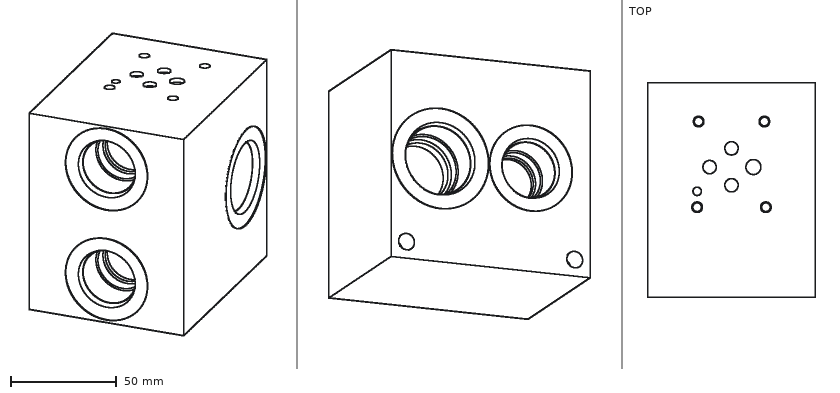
import cadquery as cq
import math

WIDTH = 79.3
LENGTH = 101.6
HEIGHT = 101.6
LEFT = -WIDTH / 2
FRONT = -LENGTH / 2
TOP = HEIGHT / 2

DRILL_HALF_ANGLE = math.radians(59)
SEAL_CONE_HALF_ANGLE = math.radians(15)

SPOTFACE_DEPTH = 0.5
SEAT_END_DEPTH = 3.8
THREAD_DEPTH = 19.3
TAP_DRILL_DEPTH = 25.4
SMALL_PORT = {"spotface": 42.1, "seat": 27.4, "thread": 27.0, "tap_drill": 24.9, "drill": 23.0}
LARGE_PORT = {"spotface": 49.2, "seat": 33.7, "thread": 33.3, "tap_drill": 31.3, "drill": 28.5}

WORK_PORT_Z = 28.4
PRESSURE_Y = -20.6
TANK_Y = 25.5
TANK_OPENING = 4.2
SMALL_PORT_DRILL_DEPTH = 28.4

VALVE_SIDE_X = 10.4
VALVE_SIDE_Y = 10.9
VALVE_MID_Y = [19.7, 2.2]
VALVE_HOLE = 6.3
VALVE_TANK_HOLE = 7.1
VALVE_HOLE_DEPTH = 2.0
BOLT_BACK_X = 15.5
BOLT_BACK_Y = 32.4
BOLT_FRONT_X = 16.3
BOLT_FRONT_Y = -8.1
BOLT_THREAD = 5.0
BOLT_DRILL = 4.2
BOLT_THREAD_DEPTH = 12.2
BOLT_DRILL_DEPTH = 15.2
PIN_HOLE = 4.0
PIN_Y = -0.6
PIN_DEPTH = 7.1

MOUNT_Y = 42.9
MOUNT_Z = -42.7
MOUNT_THREAD = 8.0
MOUNT_DRILL = 6.7
MOUNT_THREAD_DEPTH = 15.2
MOUNT_DRILL_DEPTH = 19.3


def cone_height(large_radius, small_radius=0.0):
    """Length of a drill-point cone between two radii."""
    return (large_radius - small_radius) / math.tan(DRILL_HALF_ANGLE)


def bore(entry, direction, profile):
    """Solid of revolution that cuts a hole; the profile lists (radius, depth) from the mouth to the tip."""
    axis = cq.Vector(*direction)
    side = cq.Vector(0, 1, 0) if axis.y == 0 else cq.Vector(1, 0, 0)
    plane = cq.Plane(origin=entry, xDir=side, normal=side.cross(axis))
    outline = cq.Workplane(plane).moveTo(0, 0)
    for radius, depth in profile:
        outline = outline.lineTo(radius, depth)
    return outline.close().revolve(axisStart=(0, 0), axisEnd=(0, 1))


def drilled_hole(entry, direction, diameter, depth):
    radius = diameter / 2
    return bore(entry, direction, [(radius, 0), (radius, depth), (0, depth + cone_height(radius))])


def tapped_hole(entry, direction, thread, drill, thread_depth, drill_depth):
    outer = thread / 2
    inner = drill / 2
    return bore(entry, direction, [
        (outer, 0),
        (outer, thread_depth),
        (inner, thread_depth + cone_height(outer, inner)),
        (inner, drill_depth),
        (0, drill_depth + cone_height(inner)),
    ])


def port(entry, direction, size, drill_depth):
    seat = size["seat"] / 2
    thread = size["thread"] / 2
    tap_drill = size["tap_drill"] / 2
    drill = size["drill"] / 2
    mouth = seat + (SEAT_END_DEPTH - SPOTFACE_DEPTH) * math.tan(SEAL_CONE_HALF_ANGLE)
    return bore(entry, direction, [
        (size["spotface"] / 2, 0),
        (size["spotface"] / 2, SPOTFACE_DEPTH),
        (mouth, SPOTFACE_DEPTH),
        (seat, SEAT_END_DEPTH),
        (thread, SEAT_END_DEPTH),
        (thread, THREAD_DEPTH),
        (tap_drill, THREAD_DEPTH),
        (tap_drill, TAP_DRILL_DEPTH),
        (drill, TAP_DRILL_DEPTH + cone_height(tap_drill, drill)),
        (drill, drill_depth),
        (0, drill_depth + cone_height(drill)),
    ])


RIGHTWARD = (1, 0, 0)
LEFTWARD = (-1, 0, 0)
BACKWARD = (0, 1, 0)
DOWNWARD = (0, 0, -1)

cutters = []

for z in (-WORK_PORT_Z, WORK_PORT_Z):
    cutters.append(port((0, FRONT, z), BACKWARD, SMALL_PORT, SMALL_PORT_DRILL_DEPTH))

cutters.append(port((LEFT, PRESSURE_Y, 0), RIGHTWARD, SMALL_PORT, SMALL_PORT_DRILL_DEPTH))

tank_drill_depth = WIDTH / 2 - cone_height(LARGE_PORT["drill"] / 2, TANK_OPENING / 2)
cutters.append(port((LEFT, TANK_Y, 0), RIGHTWARD, LARGE_PORT, tank_drill_depth))
cutters.append(port((-LEFT, TANK_Y, 0), LEFTWARD, LARGE_PORT, tank_drill_depth))

for y in (-MOUNT_Y, MOUNT_Y):
    cutters.append(tapped_hole(
        (LEFT, y, MOUNT_Z), RIGHTWARD, MOUNT_THREAD, MOUNT_DRILL, MOUNT_THREAD_DEPTH, MOUNT_DRILL_DEPTH
    ))

for y in VALVE_MID_Y:
    cutters.append(drilled_hole((0, y, TOP), DOWNWARD, VALVE_HOLE, VALVE_HOLE_DEPTH))
for x, diameter in ((-VALVE_SIDE_X, VALVE_HOLE), (VALVE_SIDE_X, VALVE_TANK_HOLE)):
    cutters.append(drilled_hole((x, VALVE_SIDE_Y, TOP), DOWNWARD, diameter, VALVE_HOLE_DEPTH))

for half_spacing, y in ((BOLT_BACK_X, BOLT_BACK_Y), (BOLT_FRONT_X, BOLT_FRONT_Y)):
    for x in (-half_spacing, half_spacing):
        cutters.append(tapped_hole(
            (x, y, TOP), DOWNWARD, BOLT_THREAD, BOLT_DRILL, BOLT_THREAD_DEPTH, BOLT_DRILL_DEPTH
        ))
cutters.append(drilled_hole((-BOLT_FRONT_X, PIN_Y, TOP), DOWNWARD, PIN_HOLE, PIN_DEPTH))

result = cq.Workplane("XY").box(WIDTH, LENGTH, HEIGHT)
for cutter in cutters:
    result = result.cut(cutter)